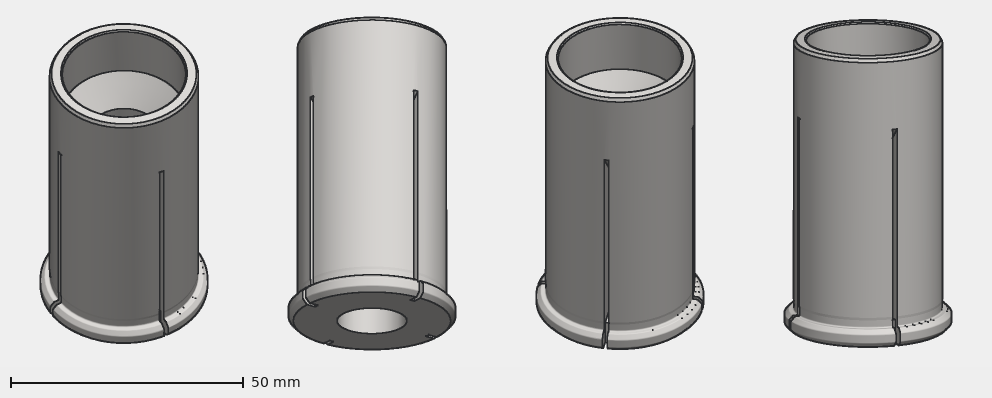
import cadquery as cq

height = 64.0
body_radius = 16.0
top_chamfer_width = 0.45
top_chamfer_height = 0.8
rim_round_width = 0.45
rim_round_height = 0.1
rim_round_radius = body_radius - top_chamfer_width
rim_round_arc = (rim_round_width**2 + rim_round_height**2) / (2 * rim_round_height)

flange_radius = 18.0
flange_height = 4.0
flange_chamfer_width = 0.95
flange_bottom_chamfer = 1.1
flange_edge_round = 0.4
neck_radius = 15.95
neck_fillet = 0.3
neck_chamfer_bottom = 5.7
neck_chamfer_top = 6.3

bore_radius = 15.0 / 2
mouth_radius = 26.5 / 2
mouth_floor = 52.15
mouth_chamfer = 0.3
cone_height = mouth_radius - bore_radius

slot_count = 4
slot_width = 1.0
slot_top = 48.0
slot_open_bottom = 5.2
slot_floor_radius = 14.7
cut_radius = flange_radius + 0.65
cut_margin = 0.65

tolerance = 0.005


def sleeve():
    """Revolve the flanged wall, with its stepped bore, about Z."""
    profile = (
        cq.Workplane("XZ")
        .moveTo(bore_radius, 0)
        .lineTo(flange_radius - flange_bottom_chamfer, 0)
        .lineTo(flange_radius, flange_bottom_chamfer)
        .lineTo(flange_radius, flange_height - flange_chamfer_width)
        .lineTo(flange_radius - flange_chamfer_width, flange_height)
        .lineTo(neck_radius + neck_fillet, flange_height)
        .radiusArc((neck_radius, flange_height + neck_fillet), neck_fillet)
        .lineTo(neck_radius, neck_chamfer_bottom)
        .lineTo(body_radius, neck_chamfer_top)
        .lineTo(body_radius, height - rim_round_height - top_chamfer_height)
        .lineTo(rim_round_radius, height - rim_round_height)
        .radiusArc((rim_round_radius - rim_round_width, height), -rim_round_arc)
        .lineTo(mouth_radius + mouth_chamfer, height)
        .lineTo(mouth_radius, height - mouth_chamfer)
        .lineTo(mouth_radius, mouth_floor)
        .lineTo(bore_radius, mouth_floor - cone_height)
        .close()
    )
    body = profile.revolve(360, (0, 0, 0), (0, 1, 0))
    rounded_heights = (flange_bottom_chamfer, flange_height - flange_chamfer_width, flange_height)
    smallest_radius = flange_radius - flange_chamfer_width - flange_edge_round

    def is_rounded(edge):
        if edge.geomType() != "CIRCLE" or edge.radius() < smallest_radius:
            return False
        return any(abs(edge.Center().z - level) < tolerance for level in rounded_heights)

    return body.edges().filter(is_rounded).fillet(flange_edge_round)


def slot_cutter():
    """Radial slot: a shallow groove at the foot, open to the bore above, with a 45 degree upper end."""
    inner_radius = bore_radius - cut_margin
    return (
        cq.Workplane("XZ")
        .moveTo(cut_radius, -cut_margin)
        .lineTo(slot_floor_radius, -cut_margin)
        .lineTo(slot_floor_radius, slot_open_bottom)
        .lineTo(inner_radius, slot_open_bottom)
        .lineTo(inner_radius, slot_top - (body_radius - inner_radius))
        .lineTo(body_radius, slot_top)
        .lineTo(cut_radius, slot_top)
        .close()
        .extrude(slot_width / 2, both=True)
    )


result = sleeve()
for index in range(slot_count):
    angle = index * 360 / slot_count
    result = result.cut(slot_cutter().rotate((0, 0, 0), (0, 0, 1), angle))